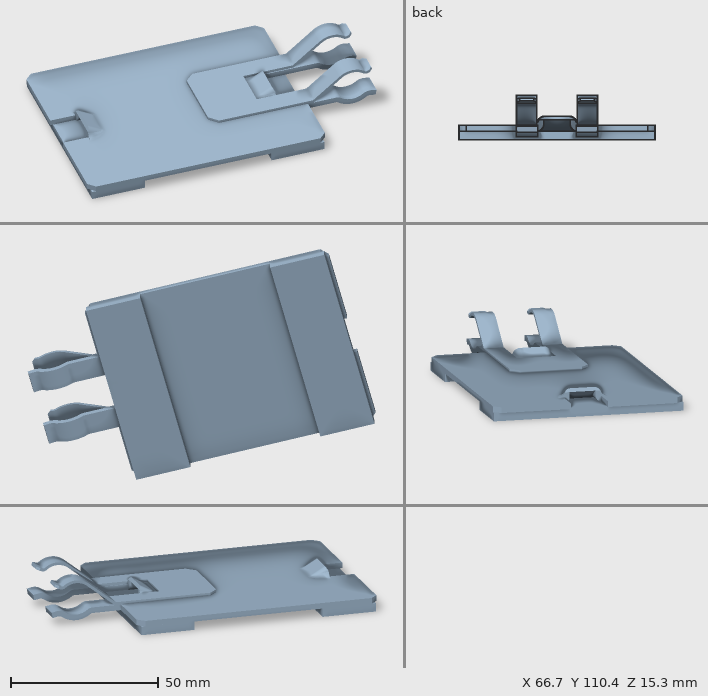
import cadquery as cq
import math

margin = 0.1

plate_width = 66.7
plate_length = 85.7
plate_thickness = 2.0
plate_chamfer = 2.4

bar_depth = 19.0
bar_height = 3.0
bar_inset = 1.0

notch_width = 13.0
notch_depth = 9.1
hood_angle = 29.0
hood_top_y = 9.7
hood_top_z = 5.1
hood_shoulder_radius = 2.4
hood_foot_radius = 2.7
hood_mouth_radius = 2.2

prong_outer_width = 27.6
grip_y = 101.7

lower_reach = 110.4
lower_bend_angle = 35.5
lower_entry_radius = 2.8
lower_crest_radius = 4.1
lower_tip_angle = 11.0

clip_thickness = 1.0
clip_front_y = 50.7
clip_chamfer = 3.0
clip_slot_width = 13.7
clip_slot_end_y = 69.7
clip_top_z = 12.3
clip_bend_angle = 38.5
clip_entry_radius = 0.5
clip_crest_radius = 7.2
clip_valley_radius = 0.9
clip_tip_angle = 20.0
clip_tip_length = 1.9
clip_tip_chamfer = 1.1


def bent_strip(start, steps, thickness, width):
    """Sheet strip that starts along +Y and is centred on X.

    `start` is the (y, z) of its upper edge. Each step is ("straight", length) or
    ("bend", upper face radius, signed angle), where a positive angle bends upward.
    """
    y, z = start
    heading = 0.0
    upper = [(y, z)]
    lower = [(y, z - thickness)]
    arcs = []
    for kind, size, *turn in steps:
        if kind == "straight":
            y += size * math.cos(heading)
            z += size * math.sin(heading)
            arcs.append(None)
        else:
            angle = math.radians(turn[0])
            side = math.copysign(1, angle)
            center_y = y - side * size * math.sin(heading)
            center_z = z + side * size * math.cos(heading)

            def on_arc(radius, direction):
                return (center_y + side * radius * math.sin(direction),
                        center_z - side * radius * math.cos(direction))

            middle = heading + angle / 2
            arcs.append((on_arc(size, middle), on_arc(size + side * thickness, middle)))
            heading += angle
            y, z = on_arc(size, heading)
        upper.append((y, z))
        lower.append((y + thickness * math.sin(heading), z - thickness * math.cos(heading)))

    outline = cq.Workplane("YZ").moveTo(*upper[0])
    for end, arc in zip(upper[1:], arcs):
        outline = outline.threePointArc(arc[0], end) if arc else outline.lineTo(*end)
    outline = outline.lineTo(*lower[-1])
    for end, arc in zip(lower[-2::-1], arcs[::-1]):
        outline = outline.threePointArc(arc[1], end) if arc else outline.lineTo(*end)
    return outline.close().extrude(width / 2, both=True)


def block(width, y_start, y_end, z_start, z_end):
    """Box centred on X between the given Y and Z limits."""
    return (
        cq.Workplane("XY", origin=(0, 0, z_start))
        .center(0, (y_start + y_end) / 2)
        .rect(width, y_end - y_start)
        .extrude(z_end - z_start)
    )


def along_hood(body):
    """Tilt a body so that its origin lands on the hood's top lip and +Y runs down the hood."""
    return body.rotate((0, 0, 0), (1, 0, 0), -hood_angle).translate((0, hood_top_y, hood_top_z))


def add_hood(plate):
    """Add the hood at the front end of the plate, hollow below and open toward -Y."""
    ramp_reach = 2 * notch_depth
    ramp_depth = 3 * notch_depth
    half_notch = notch_width / 2
    far = plate_width

    ramp = block(notch_width, -ramp_reach, ramp_reach, -ramp_depth, 0)
    ramp = along_hood(ramp.edges("|Y and >Z").fillet(hood_shoulder_radius))
    ramp = ramp.intersect(block(far, 0, far, 0, far))
    plate = plate.union(ramp)
    foot = cq.selectors.BoxSelector(
        (-half_notch - margin, margin, plate_thickness - margin),
        (half_notch + margin, plate_length / 2, plate_thickness + margin),
    )
    plate = plate.edges(foot).fillet(hood_foot_radius)

    roof_thickness = (hood_top_y - notch_depth) / math.sin(math.radians(hood_angle))
    hollow_width = notch_width - 2 * plate_thickness
    hollow = block(hollow_width, -ramp_reach, ramp_reach, -ramp_depth, -roof_thickness)
    plate = plate.cut(along_hood(hollow))
    mouth = cq.selectors.BoxSelector((-half_notch, margin, -margin), (half_notch, plate_length / 2, margin))
    plate = plate.edges(mouth).fillet(hood_mouth_radius)

    plate = plate.cut(along_hood(block(far, -far, 0, -plate_thickness, far)))
    plate = plate.cut(block(far, 0, notch_depth, plate_thickness, far))
    return plate.cut(block(notch_width, 0, notch_depth, 0, plate_thickness))


def make_plate():
    def flip(body):
        return body.mirror("XZ", (0, plate_length / 2, 0))

    plate = block(plate_width, 0, plate_length, 0, plate_thickness)
    plate = flip(add_hood(flip(add_hood(plate))))
    corners = block(plate_width, 0, plate_length, 0, hood_top_z + margin).edges("|Z").chamfer(plate_chamfer)
    plate = plate.intersect(corners)
    return plate.union(make_lower_prongs())


def make_lower_prongs():
    angle = math.radians(lower_bend_angle)
    grip_radius = plate_thickness / (1 - math.cos(angle)) - lower_crest_radius
    entry_drop = (lower_entry_radius + grip_radius) * (1 - math.cos(angle))
    slope_length = (plate_thickness - entry_drop) / math.sin(angle)
    entry_y = (grip_y - (lower_entry_radius + grip_radius) * math.sin(angle)
               - slope_length * math.cos(angle))
    crest_y = grip_y + (grip_radius + lower_crest_radius) * math.sin(angle)
    tip_angle = math.radians(lower_tip_angle)
    tip_length = (lower_reach - crest_y - lower_crest_radius * math.sin(tip_angle)) / math.cos(tip_angle)
    root_y = plate_length - notch_depth
    prongs = bent_strip(
        (root_y, plate_thickness),
        [
            ("straight", entry_y - root_y),
            ("bend", lower_entry_radius, -lower_bend_angle),
            ("straight", slope_length),
            ("bend", grip_radius, 2 * lower_bend_angle),
            ("bend", lower_crest_radius, -lower_bend_angle - lower_tip_angle),
            ("straight", tip_length),
        ],
        plate_thickness,
        prong_outer_width,
    )
    return prongs.cut(block(notch_width, root_y, lower_reach + margin, -bar_height, clip_top_z))


def make_clip():
    angle = math.radians(clip_bend_angle)
    flat_z = plate_thickness + clip_thickness
    bends_radius = clip_entry_radius + clip_crest_radius
    slope_length = (clip_top_z - flat_z - bends_radius * (1 - math.cos(angle))) / math.sin(angle)
    entry_y = grip_y - bends_radius * math.sin(angle) - slope_length * math.cos(angle)
    clip = bent_strip(
        (clip_front_y, flat_z),
        [
            ("straight", entry_y - clip_front_y),
            ("bend", clip_entry_radius, clip_bend_angle),
            ("straight", slope_length),
            ("bend", clip_crest_radius, -2 * clip_bend_angle),
            ("bend", clip_valley_radius, clip_bend_angle + clip_tip_angle),
            ("straight", clip_tip_length),
        ],
        clip_thickness,
        prong_outer_width,
    )
    clip = clip.edges("|Z and <Y").chamfer(clip_chamfer)
    clip = clip.cut(block(clip_slot_width, clip_slot_end_y, lower_reach, 0, clip_top_z + margin))
    tip_angle = math.radians(clip_tip_angle)
    tip_direction = cq.Vector(0, math.cos(tip_angle), math.sin(tip_angle))
    tip_faces = clip.faces(cq.selectors.DirectionMinMaxSelector(tip_direction))
    across_sheet = cq.Vector(0, -math.sin(tip_angle), math.cos(tip_angle))
    return tip_faces.edges(cq.selectors.ParallelDirSelector(across_sheet)).chamfer(clip_tip_chamfer)


def make_bars():
    bars = []
    for y_start in (bar_inset, plate_length - bar_inset - bar_depth):
        bars.append(block(plate_width, y_start, y_start + bar_depth, -bar_height, 0))
    return bars


plate = make_plate()
clip = make_clip().cut(plate)
bars = make_bars()

result = cq.Compound.makeCompound([plate.val(), clip.val(), *[bar.val() for bar in bars]])